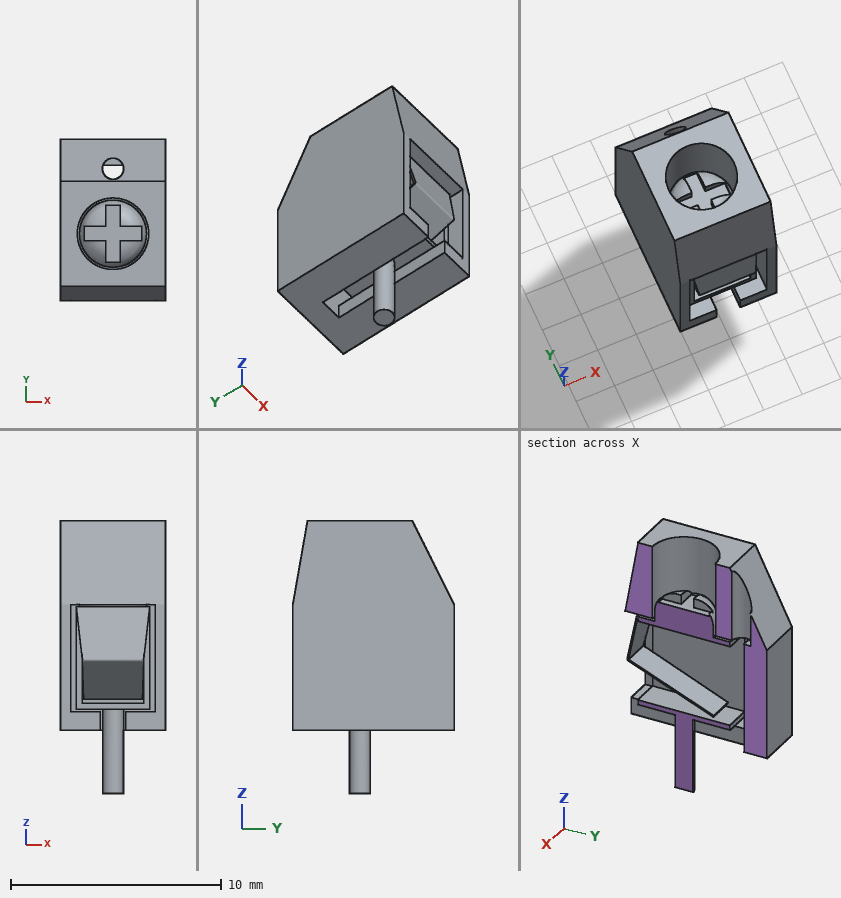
import cadquery as cq
import math


width = 5.0
depth = 7.7
height = 10.0
shoulder_height = 5.99
front_setback = 0.7
back_setback = 2.0

cavity_width = 4.0
cavity_floor = 0.9
cavity_depth = 6.45
slot_width = 1.22
screw_axis_y = 3.2
access_diameter = 3.4
probe_diameter = 1.0
probe_axis_y = 6.29

cage_width = 3.5
cage_bottom = 1.0
cage_top = 5.9
cage_front = 0.7
cage_depth = 2 * (screw_axis_y - cage_front)
cage_wall = 0.29

pin_diameter = 1.0
total_height = 13.0
pin_tip = height - total_height

head_diameter = 3.2
head_top = 7.5
head_fillet = 1.0
cross_length = 2.73
cross_width = 0.69
cross_depth = 0.5

guard_thickness = 0.1
guard_fold_y = 0.21
guard_fold_z = 3.38
guard_end_y = 4.82
guard_end_z = 1.57
guard_fold_width = cage_width - 2 * cage_wall
guard_end_width = 2.8


def block(size_x, y_start, y_end, z_start, z_end):
    """Box centred on X between the given Y and Z limits."""
    return (
        cq.Workplane("XY")
        .box(size_x, y_end - y_start, z_end - z_start, centered=(True, False, False))
        .translate((0, y_start, z_start))
    )


def upright_cylinder(diameter, axis_y, z_start, z_end):
    """Vertical cylinder on the X = 0 plane."""
    return (
        cq.Workplane("XY", origin=(0, axis_y, z_start))
        .circle(diameter / 2)
        .extrude(z_end - z_start)
    )


def make_housing():
    """Shell with sloped shoulders, a front cavity, a pin slot and two vertical holes."""
    side_outline = [
        (0, 0),
        (depth, 0),
        (depth, shoulder_height),
        (depth - back_setback, height),
        (front_setback, height),
        (0, shoulder_height),
    ]
    shell = cq.Workplane("YZ").polyline(side_outline).close().extrude(width / 2, both=True)
    cavity = block(cavity_width, 0, cavity_depth, cavity_floor, shoulder_height)
    pin_slot = block(slot_width, 0, cavity_depth, 0, cavity_floor)
    access_hole = upright_cylinder(access_diameter, screw_axis_y, shoulder_height, height)
    probe_hole = upright_cylinder(probe_diameter, probe_axis_y, shoulder_height, height)
    return shell.cut(cavity).cut(pin_slot).cut(access_hole).cut(probe_hole)


def make_cage():
    """Rectangular tube running front to back."""
    cage_back = cage_front + cage_depth
    tube = block(cage_width, cage_front, cage_back, cage_bottom, cage_top)
    bore_width = cage_width - 2 * cage_wall
    bore = block(bore_width, cage_front, cage_back, cage_bottom + cage_wall, cage_top - cage_wall)
    return tube.cut(bore)


def make_screw_head():
    """Cylindrical head with a rounded rim and a blind cross recess."""
    head = upright_cylinder(head_diameter, screw_axis_y, cage_top, head_top)
    head = head.faces(">Z").edges().fillet(head_fillet)
    recess_floor = head_top - cross_depth
    for size_x, size_y in ((cross_length, cross_width), (cross_width, cross_length)):
        y_start = screw_axis_y - size_y / 2
        head = head.cut(block(size_x, y_start, y_start + size_y, recess_floor, head_top))
    return head


def make_guard():
    """Folded strip: from the cage top down to the front fold, then back down into the cage."""
    hinge = (cage_front, cage_top - guard_thickness)
    fold = (guard_fold_y, guard_fold_z)
    end = (guard_end_y, guard_end_z)

    upper_angle = math.atan2(hinge[0] - fold[0], hinge[1] - fold[1])
    lower_angle = math.atan2(fold[1] - end[1], end[0] - fold[0])
    upper_normal = math.pi - upper_angle
    lower_normal = 1.5 * math.pi - lower_angle

    def outer(point, direction):
        return (
            point[0] + guard_thickness * math.cos(direction),
            point[1] + guard_thickness * math.sin(direction),
        )

    up = math.pi / 2
    strip = (
        cq.Workplane("YZ")
        .moveTo(*hinge)
        .lineTo(*outer(hinge, up))
        .threePointArc(outer(hinge, (up + upper_normal) / 2), outer(hinge, upper_normal))
        .lineTo(*outer(fold, upper_normal))
        .threePointArc(outer(fold, (upper_normal + lower_normal) / 2), outer(fold, lower_normal))
        .lineTo(*outer(end, lower_normal))
        .lineTo(*end)
        .lineTo(*fold)
        .close()
        .extrude(cage_width / 2, both=True)
    )

    strip_bottom = outer(end, lower_normal)[1]
    right_side = [
        (guard_end_width / 2, strip_bottom),
        (guard_fold_width / 2, guard_fold_z),
        (cage_width / 2, cage_top),
    ]
    left_side = [(-x, z) for x, z in reversed(right_side)]
    taper = cq.Workplane("XZ").polyline(right_side + left_side).close().extrude(-depth)
    return strip.intersect(taper)


def make_terminal():
    """Cage with its solder pin, screw head and wire guard, all one metal body."""
    pin = upright_cylinder(pin_diameter, screw_axis_y, pin_tip, cage_bottom)
    return make_cage().union(pin).union(make_screw_head()).union(make_guard())


housing = make_housing()
terminal = make_terminal()

result = cq.Compound.makeCompound([housing.solids().val(), terminal.solids().val()])